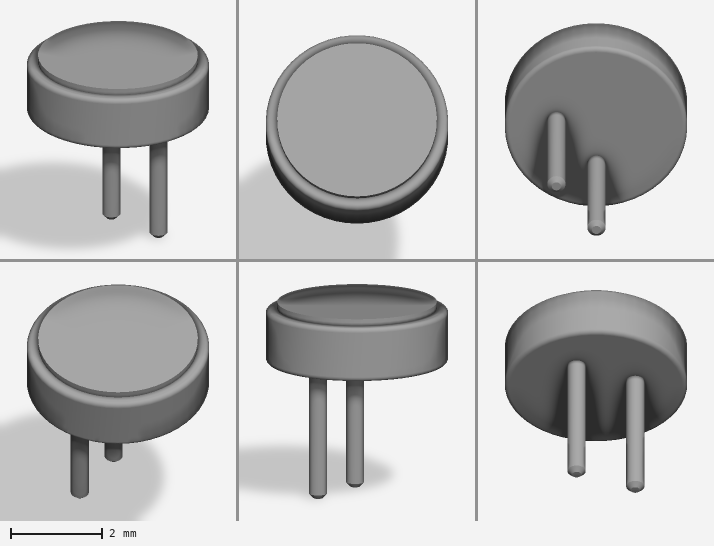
import cadquery as cq

housing_diameter = 4.0
housing_height = 1.2
housing_edge_radius = 0.1

disc_diameter = 3.5
disc_height = 0.15

pin_diameter = 0.4
pin_length = 3.0
pin_tip_chamfer = 0.1
pin_pitch = 1.4
pin_offset_y = 0.55


def make_housing():
    """Cylinder with both circular edges rounded."""
    return (
        cq.Workplane("XY")
        .circle(housing_diameter / 2)
        .extrude(housing_height)
        .edges("%CIRCLE")
        .fillet(housing_edge_radius)
    )


def make_disc():
    """Plain disc centred on top of the housing."""
    return (
        cq.Workplane("XY")
        .workplane(offset=housing_height)
        .circle(disc_diameter / 2)
        .extrude(disc_height)
    )


def make_pin(x):
    """Round pin with a chamfered lower tip, touching the housing underside."""
    return (
        cq.Workplane("XY")
        .center(x, pin_offset_y)
        .circle(pin_diameter / 2)
        .extrude(-pin_length)
        .faces("<Z")
        .chamfer(pin_tip_chamfer)
    )


housing = make_housing()
disc = make_disc()
pins = [make_pin(side * pin_pitch / 2) for side in (-1, 1)]

result = cq.Compound.makeCompound([housing.val(), disc.val(), *[pin.val() for pin in pins]])